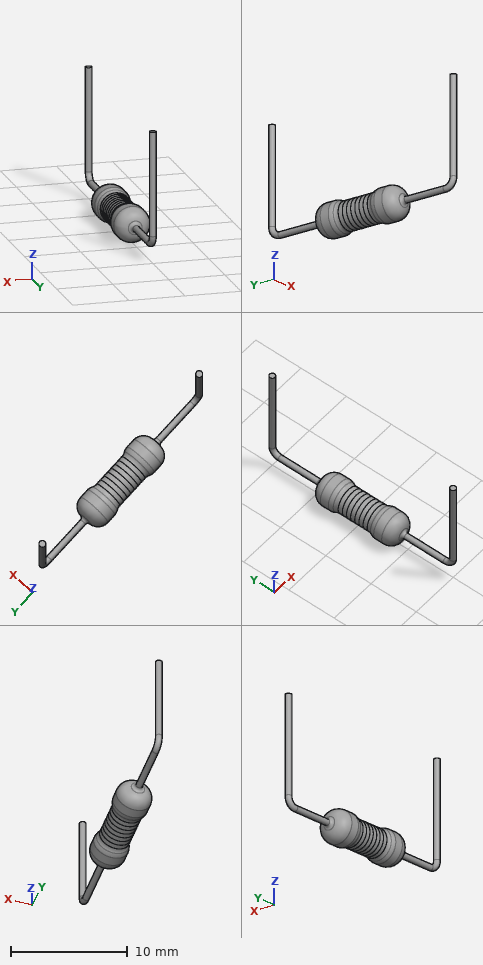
import cadquery as cq
import math

cap_radius = 3.2 / 2
waist_radius = 2.72 / 2
band_radius = 2.75 / 2
body_half_length = 4.51
cap_round_start = 3.4
cap_wall_start = 2.51
waist_half_length = 1.6

stretch_count = 7
stretch_length = 2 * waist_half_length / stretch_count

wire_radius = 0.6 / 2
collar_fillet = 0.3
bend_radius = 0.89
overall_length = 20.6
lead_height = 11.8 - cap_radius
lead_offset = overall_length / 2 - wire_radius

collar_radius = wire_radius + collar_fillet
collar_end = body_half_length + collar_fillet
diagonal = 0.5 ** 0.5


def make_body_end():
    """Revolve the +Y end: S-shaped shoulder, rounded cap and wire collar."""
    shoulder_middle_y = (waist_half_length + cap_wall_start) / 2
    shoulder_middle_radius = (waist_radius + cap_radius) / 2
    half_length = shoulder_middle_y - waist_half_length
    half_rise = shoulder_middle_radius - waist_radius
    shoulder_arc_radius = (half_length ** 2 + half_rise ** 2) / (2 * half_rise)
    half_turn = math.asin(half_length / shoulder_arc_radius) / 2
    waist_side_arc = (
        waist_radius + shoulder_arc_radius * (1 - math.cos(half_turn)),
        waist_half_length + shoulder_arc_radius * math.sin(half_turn),
    )
    collar_middle = (
        collar_radius - collar_fillet * diagonal,
        collar_end - collar_fillet * diagonal,
    )
    return (
        cq.Workplane("XY")
        .moveTo(0, waist_half_length)
        .lineTo(waist_radius, waist_half_length)
        .threePointArc(waist_side_arc, (shoulder_middle_radius, shoulder_middle_y))
        .tangentArcPoint((cap_radius, cap_wall_start), relative=False)
        .lineTo(cap_radius, cap_round_start)
        .tangentArcPoint((collar_radius, body_half_length), relative=False)
        .threePointArc(collar_middle, (wire_radius, collar_end))
        .lineTo(0, collar_end)
        .close()
        .revolve(360, (0, 0, 0), (0, 1, 0))
    )


def make_disc(radius, start_y, length):
    """Disc about the Y axis, reaching from start_y towards +Y."""
    return cq.Workplane("XZ", origin=(0, start_y, 0)).circle(radius).extrude(-length)


def make_lead():
    """Wire leaving the +Y end of the body and bending upwards."""
    bend_start = lead_offset - bend_radius
    bend_middle = (
        bend_start + bend_radius * diagonal,
        bend_radius - bend_radius * diagonal,
    )
    path = (
        cq.Workplane("YZ")
        .moveTo(body_half_length, 0)
        .lineTo(bend_start, 0)
        .threePointArc(bend_middle, (lead_offset, bend_radius))
        .lineTo(lead_offset, lead_height)
    )
    return (
        cq.Workplane("XZ", origin=(0, body_half_length, 0))
        .circle(wire_radius)
        .sweep(path)
    )


part_end = make_body_end().union(make_lead())
waist = make_disc(waist_radius, -waist_half_length, 2 * waist_half_length)
result = waist.union(part_end).union(part_end.mirror("XZ"))

for index in range(0, stretch_count, 2):
    band_start = -waist_half_length + index * stretch_length
    result = result.union(make_disc(band_radius, band_start, stretch_length))